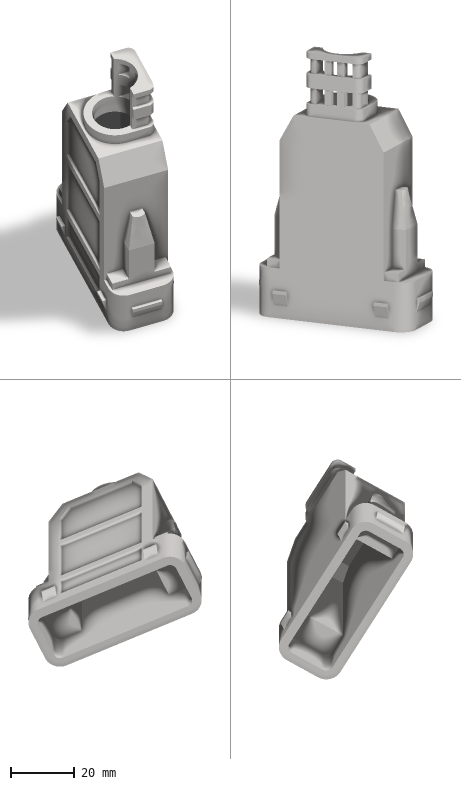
import cadquery as cq
import math

body_width = 36.5
body_depth = 21.85
body_top = 67.1
roof_width = 26.6
shoulder_height = 58.4
wall = 3.0

base_width = 54.2
base_height = 16.2
base_corner_radius = 5.2

neck_diameter = 20.0
neck_radius = neck_diameter / 2
neck_corner_radius = 2.4
neck_top = 71.1
shell_top = 88.1
shell_front = 2.4
bore_diameter = 14.5

relief_zones = [(neck_top, 76.5), (81.05, 86.1)]
relief_depth = 1.15
relief_corner_radius = 1.5
middle_window_width = 2.1
side_window_width = 2.9
side_window_offset = 4.9

panel_margin = 3.9
panel_half_width = body_width / 2 - panel_margin
panel_depth = 0.8
panel_wall_run = 0.57
upper_panel_bottom = 42.3
plain_panels = [(17.3, 39.4), (4.85, 14.45)]

post_reach = 23.0
pad_depth = 20.1
pad_top = 19.0
column_depth = 8.8
column_top = 32.0
tip_depth = 4.2
tip_reach = 21.4
tip_radius = 2.8
tip_top = 44.2
post_root = body_width / 2 - wall / 2

overall_width = 56.3
overall_depth = 24.4
face_latch_width = 4.7
face_latch_offset = 17.7
face_latch_heights = (4.2, 8.2, 9.1)
end_latch_width = 10.0
end_latch_heights = (5.6, 8.8, 10.2)
latch_embed = 0.9


def block(width, depth, bottom, top):
    """Box centred on the Z axis between two heights."""
    return cq.Workplane("XY").workplane(offset=bottom).rect(width, depth).extrude(top - bottom)


def hood_outline(inset, bottom):
    """Closed hood profile in XZ, moved inward by inset at the sides, slopes and top."""
    half_width = body_width / 2 - inset
    top = body_top - inset
    slope_run = (body_width - roof_width) / 2
    slope_rise = body_top - shoulder_height
    slope_length = math.hypot(slope_run, slope_rise)
    side_drop = inset * (slope_length - slope_rise) / slope_run
    roof_shift = inset * (slope_length - slope_run) / slope_rise
    shoulder = shoulder_height - side_drop
    half_roof = roof_width / 2 - roof_shift
    return [
        (-half_width, bottom),
        (-half_width, shoulder),
        (-half_roof, top),
        (half_roof, top),
        (half_width, shoulder),
        (half_width, bottom),
    ]


def make_housing():
    hood = cq.Workplane("XZ").polyline(hood_outline(0, 0)).close().extrude(body_depth / 2, both=True)
    base = block(base_width, body_depth, 0, base_height).edges("|Z").fillet(base_corner_radius)
    return hood.union(base)


def make_cavity():
    """Inside of the housing, open at the bottom, with one wall thickness everywhere."""
    inner_depth = body_depth - 2 * wall
    hood = cq.Workplane("XZ").polyline(hood_outline(wall, 0)).close().extrude(inner_depth / 2, both=True)
    base = block(base_width - 2 * wall, inner_depth, 0, base_height - wall)
    return hood.union(base.edges("|Z").fillet(base_corner_radius - wall))


def make_neck():
    def back_part(bottom, top):
        return (
            cq.Workplane("XY")
            .workplane(offset=bottom)
            .rect(neck_diameter, neck_diameter)
            .extrude(top - bottom)
            .edges("|Z and >Y")
            .fillet(neck_corner_radius)
        )

    def behind(start):
        return block(2 * neck_diameter, neck_diameter, body_top, shell_top).translate((0, start + neck_radius, 0))

    collar = back_part(body_top, neck_top).intersect(behind(0))
    round_front = cq.Workplane("XY").workplane(offset=body_top).circle(neck_radius).extrude(neck_top - body_top)
    shell = back_part(body_top, shell_top).intersect(behind(shell_front))
    neck = collar.union(round_front).union(shell)

    core_width = 2 * (neck_radius - relief_depth)
    core = block(core_width, core_width, body_top, shell_top)
    core = core.edges("|Z and >Y").fillet(relief_corner_radius)
    for bottom, top in relief_zones:
        zone = block(2 * neck_diameter, 2 * neck_diameter, bottom, top)
        neck = neck.cut(zone.cut(core))
        for offset, width in (
            (-side_window_offset, side_window_width),
            (0, middle_window_width),
            (side_window_offset, side_window_width),
        ):
            window = block(width, neck_diameter, bottom, top)
            neck = neck.cut(window.translate((offset, neck_radius, 0)))
    return neck


def make_panel(outline):
    """Recess in the front face whose walls slope inward to a flat floor."""
    taper = math.degrees(math.atan2(panel_wall_run, panel_depth))
    front = cq.Workplane("XZ", origin=(0, -body_depth / 2, 0))
    return front.polyline(outline).close().extrude(-panel_depth, taper=taper)


def make_post():
    """Post on the +X side."""

    def step(depth, bottom, top):
        bar = block(post_reach - post_root, depth, bottom, top)
        return bar.translate(((post_reach + post_root) / 2, 0, 0))

    pad = step(pad_depth, base_height - latch_embed, pad_top)
    column = step(column_depth, base_height, column_top)

    half_column = column_depth / 2
    half_tip = tip_depth / 2
    arc_start = tip_reach - tip_radius + math.sqrt(tip_radius**2 - half_tip**2)
    tip = (
        cq.Workplane("XY")
        .workplane(offset=column_top)
        .moveTo(post_root, -half_column)
        .lineTo(post_reach, -half_column)
        .lineTo(post_reach, half_column)
        .lineTo(post_root, half_column)
        .close()
        .workplane(offset=tip_top - column_top)
        .moveTo(post_root, -half_tip)
        .lineTo(arc_start, -half_tip)
        .threePointArc((tip_reach, 0), (arc_start, half_tip))
        .lineTo(post_root, half_tip)
        .close()
        .loft(ruled=True)
    )
    return pad.union(column).union(tip)


def make_latch(wall_position, reach, width, heights):
    """Latch wedge on the +X side of a wall at the given distance."""
    toe, slope_top, top = heights
    return (
        cq.Workplane("XZ")
        .moveTo(wall_position - latch_embed, toe)
        .lineTo(wall_position, toe)
        .lineTo(reach, slope_top)
        .lineTo(reach, top)
        .lineTo(wall_position - latch_embed, top)
        .close()
        .extrude(width / 2, both=True)
    )


result = make_housing().union(make_neck())

post = make_post()
end_latch = make_latch(base_width / 2, overall_width / 2, end_latch_width, end_latch_heights)
for part in (post, end_latch):
    result = result.union(part).union(part.mirror("YZ"))

face_latch = make_latch(body_depth / 2, overall_depth / 2, face_latch_width, face_latch_heights)
face_latch = face_latch.rotate((0, 0, 0), (0, 0, 1), 90)
for x in (-face_latch_offset, face_latch_offset):
    latch = face_latch.translate((x, 0, 0))
    result = result.union(latch).union(latch.mirror("XZ"))

result = result.cut(make_panel(hood_outline(panel_margin, upper_panel_bottom)))
for bottom, top in plain_panels:
    corners = [
        (-panel_half_width, bottom),
        (-panel_half_width, top),
        (panel_half_width, top),
        (panel_half_width, bottom),
    ]
    result = result.cut(make_panel(corners))

result = result.cut(make_cavity())
bore = cq.Workplane("XY").circle(bore_diameter / 2).extrude(shell_top)
result = result.cut(bore)